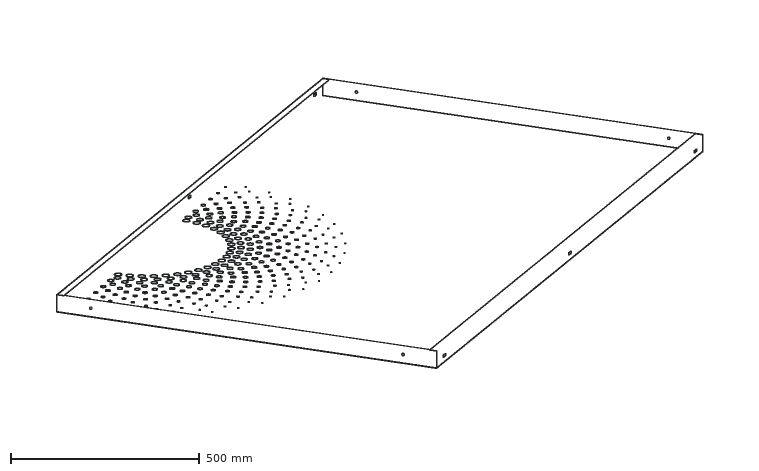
import cadquery as cq
import math

WIDTH = 1100.0
LENGTH = 1800.0
HEIGHT = 50.0

SHEET = 1.5
BEND_RADIUS = 3.0
LIP_WIDTH = 22.0
END_WALL_INSET = 0.4

FIXING_DIAMETER = 7.0
END_HOLE_INSET = 99.0
SLOT_LENGTH = 18.0
SLOT_END_INSET = 50.0
SLOT_DROP = 5.0

SPOKES = 44
RINGS = 13
INNER_RING = 225.0
OUTER_RING = 527.0
INNER_DIAMETER = 20.0
OUTER_DIAMETER = 4.0
STAGGER = 13.3
BURST_SIDE_INSET = 25.0
BURST_END_INSET = 553.0

FLOOR_BOTTOM = -HEIGHT / 2


def rounded_block(width, height, radius, length):
    """Block along Y, centred on the origin, with its four long edges rounded."""
    return cq.Workplane("XY").box(width, length, height).edges("|Y").fillet(radius)


def make_channel():
    """Floor, side walls and inward lips, open along the top and at both ends."""
    outside = rounded_block(WIDTH, HEIGHT, BEND_RADIUS, LENGTH)
    inside = rounded_block(WIDTH - 2 * SHEET, HEIGHT - 2 * SHEET, BEND_RADIUS - SHEET, LENGTH)
    opening = cq.Workplane("XY").box(WIDTH - 2 * LIP_WIDTH, LENGTH, HEIGHT / 2, centered=(True, True, False))
    return outside.cut(inside).cut(opening)


def make_end_wall(end):
    """Upright plate filling the channel section, near the -Y (end=-1) or +Y (end=1) end."""
    center_y = end * (LENGTH / 2 - END_WALL_INSET - SHEET / 2)
    plate = rounded_block(WIDTH - 2 * SHEET, HEIGHT - 2 * SHEET, BEND_RADIUS - SHEET, SHEET)
    upper_edge = cq.Workplane("XY").box(WIDTH - 2 * LIP_WIDTH, SHEET, HEIGHT / 2, centered=(True, True, False))
    return plate.union(upper_edge).translate((0, center_y, 0))


def make_end_holes():
    """Round holes through both end walls."""
    hole_x = WIDTH / 2 - END_HOLE_INSET
    return (
        cq.Workplane("XZ")
        .pushPoints([(-hole_x, 0), (hole_x, 0)])
        .circle(FIXING_DIAMETER / 2)
        .extrude(LENGTH, both=True)
    )


def make_side_slots():
    """Three horizontal slots through both side walls."""
    slot_y = LENGTH / 2 - SLOT_END_INSET
    return (
        cq.Workplane("YZ")
        .pushPoints([(y, -SLOT_DROP) for y in (-slot_y, 0, slot_y)])
        .slot2D(SLOT_LENGTH, FIXING_DIAMETER)
        .extrude(WIDTH, both=True)
    )


def make_perforations():
    """Cutters on staggered rings, shrinking outwards, for the half circle facing +X."""
    center_x = -WIDTH / 2 + BURST_SIDE_INSET
    center_y = -LENGTH / 2 + BURST_END_INSET
    cutters = []
    for ring in range(RINGS):
        outward = ring / (RINGS - 1)
        along = INNER_RING + outward * (OUTER_RING - INNER_RING)
        across = STAGGER if ring % 2 == 0 else -STAGGER
        diameter = INNER_DIAMETER + outward * (OUTER_DIAMETER - INNER_DIAMETER)
        radius = math.hypot(along, across)
        for spoke in range(SPOKES):
            angle = 2 * math.pi * spoke / SPOKES + math.atan2(across, along)
            if math.cos(angle) <= 0:
                continue
            base = cq.Vector(
                center_x + radius * math.cos(angle),
                center_y + radius * math.sin(angle),
                FLOOR_BOTTOM - SHEET,
            )
            cutters.append(cq.Solid.makeCylinder(diameter / 2, 3 * SHEET, base))
    return cq.Compound.makeCompound(cutters)


tray = make_channel().union(make_end_wall(-1)).union(make_end_wall(1))
result = tray.cut(make_end_holes()).cut(make_side_slots()).cut(cq.Workplane(make_perforations()))